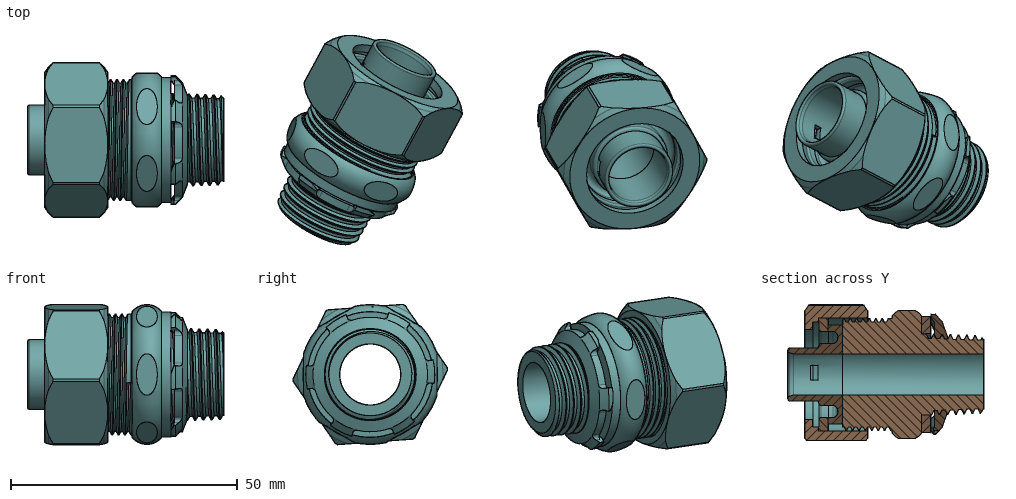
import cadquery as cq
import math


FULL_TURN = 360.0
HEX_SIDES = 6
SIXTH_TURN = FULL_TURN / HEX_SIDES

NUT_FRONT = 3.7
NUT_BACK = 17.7
NUT_CORNER_RADIUS = 17.1
NUT_CORNER_LAND = 0.5
NUT_TILT = 4.2
NUT_FACE_RADIUS = 14.9
NUT_BEVEL_STEP_RADIUS = 16.05
NUT_BEVEL_STEP = 0.82
NUT_BEVEL_DEPTH = 1.9
NUT_MOUTH_RADIUS = 11.05
NUT_LIP_THICKNESS = 1.85
NUT_RELIEF_RADIUS = 12.55

RING_FRONT = 6.9
RING_BACK = 8.95
RING_BORE_RADIUS = 10.7
RING_EDGE_ROUND = 0.48

TUBE_RADIUS = 7.75
BORE_RADIUS = 6.7
TUBE_NOSE_ROUND = 0.45
TUBE_FLARE_END = 1.25
TUBE_STEP = 6.7
TUBE_ROOT_RADIUS = 8.52
WINDOW_START = 5.0
WINDOW_LENGTH = 1.7
WINDOW_BOTTOM = -1.25
WINDOW_HEIGHT = 3.25
TROUGH_START = 9.95
FERRULE_FLANGE_RADIUS = 12.1
FERRULE_BACK = 12.1

BODY_BACK = 43.25
GLAND_CREST_RADIUS = 13.35
COLLAR_FRONT = 23.05
COLLAR_ROOT_BEVEL = 0.2
COLLAR_BACK = 29.55
COLLAR_EDGE_RADIUS = 13.9
COLLAR_CROWN_RADIUS = 15.45
COLLAR_FLAT_DISTANCE = 14.75
GLAND_DEPTH = 0.75
GLAND_CREST_WIDTH = 0.17
GLAND_GROOVE_TURNS = 8
GLAND_GROOVE_LENGTH = 11.3
GLAND_PITCH = GLAND_GROOVE_LENGTH / GLAND_GROOVE_TURNS
GLAND_GROOVE_END = 22.5
GLAND_GROOVE_END_ANGLE = 188.0
PIPE_CREST_RADIUS = 10.35
PIPE_TAPER_RUN = 32.0
PIPE_TAPER = math.degrees(math.atan(1 / PIPE_TAPER_RUN))
PIPE_PITCH = 1.8
PIPE_DEPTH = 0.82
PIPE_CREST_WIDTH = 0.2
PIPE_GROOVE_TURNS = 8
PIPE_GROOVE_START = 31.05
PIPE_END_RADIUS = 9.17
PIPE_STOCK_END = 51.92
THREAD_FLANK_ANGLE = 30.0
THREAD_CUT_OVERSHOOT = 0.2

GASKET_RADIUS = 13.85
GASKET_BACK = 31.6
RIM_FRONT = 32.35
RIM_BACK = 34.15
RIM_RADIUS = 12.65
LOCKNUT_BACK = 35.25
LOCKNUT_END_RADIUS = 9.82
LUG_RADIUS = 14.25
LUG_INNER_RADIUS = 13.5
LUG_ROOT_RADIUS = 12.45
LUG_BEND = 32.63
LUG_HALF_ANGLE = 10.7
LUG_ROOT_ROUND = 0.85
LUG_TURN = 2.6
LUG_RAMP_INNER = 0.65
LUG_RAMP_OUTER = 2.8
LUG_RAMP_HEIGHT = 0.75


def turned(profile):
    """Revolve a closed (x, radius) outline about the X axis."""
    return profile.close().revolve(FULL_TURN, (0, 0, 0), (1, 0, 0))


def disc(start, end, radius):
    """Cylinder on the X axis from x = start to x = end."""
    return cq.Workplane("YZ", origin=(start, 0, 0)).circle(radius).extrude(end - start)


def pipe_crest_radius(x):
    """Radius of the tapered thread's crests."""
    return PIPE_CREST_RADIUS - (x - COLLAR_BACK) * math.tan(math.radians(PIPE_TAPER))


def thread_groove(start, start_angle, crest_radius, pitch, turns, depth, crest_width, taper, left_hand):
    """Helical V-groove with a flat floor, running along +X from x = start."""
    overshoot = THREAD_CUT_OVERSHOOT
    slope = math.tan(math.radians(THREAD_FLANK_ANGLE))
    top_half = (pitch - crest_width) / 2 + overshoot * slope
    floor_half = (pitch - crest_width) / 2 - depth * slope
    section = (
        cq.Workplane("XZ")
        .polyline([
            (crest_radius - depth, -floor_half),
            (crest_radius + overshoot, -top_half),
            (crest_radius + overshoot, top_half),
            (crest_radius - depth, floor_half),
        ])
        .close()
    )
    length = pitch * turns
    if taper:
        helix = cq.Wire.makeHelix(pitch, length, crest_radius, angle=-taper, lefthand=left_hand)
    else:
        helix = cq.Wire.makeHelix(pitch, length, crest_radius, lefthand=left_hand)
    groove = section.sweep(cq.Workplane(helix), isFrenet=True)
    groove = groove.rotate((0, 0, 0), (1, 1, 1), FULL_TURN / 3)
    return groove.rotate((0, 0, 0), (1, 0, 0), start_angle).translate((start, 0, 0))


def make_nut():
    land_half_angle = math.asin(NUT_CORNER_LAND / 2 / NUT_CORNER_RADIUS)
    flat_distance = NUT_CORNER_RADIUS * math.cos(math.pi / HEX_SIDES - land_half_angle)
    sharp_diameter = 2 * flat_distance / math.cos(math.pi / HEX_SIDES)
    hexagon = (
        cq.Workplane("YZ", origin=(NUT_FRONT, 0, 0))
        .polygon(HEX_SIDES, sharp_diameter)
        .extrude(NUT_BACK - NUT_FRONT)
        .rotate((0, 0, 0), (1, 0, 0), NUT_TILT)
    )
    envelope = turned(
        cq.Workplane("XY")
        .moveTo(NUT_FRONT, 0)
        .lineTo(NUT_FRONT, NUT_FACE_RADIUS)
        .lineTo(NUT_FRONT + NUT_BEVEL_STEP, NUT_BEVEL_STEP_RADIUS)
        .lineTo(NUT_FRONT + NUT_BEVEL_DEPTH, NUT_CORNER_RADIUS)
        .lineTo(NUT_BACK - NUT_BEVEL_DEPTH, NUT_CORNER_RADIUS)
        .lineTo(NUT_BACK - NUT_BEVEL_STEP, NUT_BEVEL_STEP_RADIUS)
        .lineTo(NUT_BACK, NUT_FACE_RADIUS)
        .lineTo(NUT_BACK, 0)
    )
    mouth = disc(NUT_FRONT, NUT_BACK, NUT_MOUTH_RADIUS)
    relief = disc(NUT_FRONT + NUT_LIP_THICKNESS, NUT_BACK, NUT_RELIEF_RADIUS)
    body_socket = disc(RING_FRONT, NUT_BACK, GLAND_CREST_RADIUS)
    return hexagon.intersect(envelope).cut(mouth).cut(relief).cut(body_socket)


def make_sealing_ring():
    ring = disc(RING_FRONT, RING_BACK, GLAND_CREST_RADIUS).cut(disc(RING_FRONT, RING_BACK, RING_BORE_RADIUS))
    inner_front_edge = cq.selectors.RadiusNthSelector(0)
    return ring.faces("<X").edges(inner_front_edge).fillet(RING_EDGE_ROUND)


def make_ferrule():
    """Conduit tube standing in a flange whose front is a round-bottomed trough."""
    trough_radius = (RING_BORE_RADIUS - TUBE_ROOT_RADIUS) / 2
    trough_middle = (RING_BORE_RADIUS + TUBE_ROOT_RADIUS) / 2
    shoulder = TUBE_ROOT_RADIUS - TUBE_RADIUS
    shoulder_rise = shoulder * math.sin(math.pi / 4)
    shoulder_setback = shoulder * (1 - math.cos(math.pi / 4))
    ferrule = turned(
        cq.Workplane("XY")
        .moveTo(TUBE_FLARE_END, BORE_RADIUS)
        .lineTo(TUBE_NOSE_ROUND, TUBE_RADIUS - 2 * TUBE_NOSE_ROUND)
        .threePointArc((0, TUBE_RADIUS - TUBE_NOSE_ROUND), (TUBE_NOSE_ROUND, TUBE_RADIUS))
        .lineTo(TUBE_STEP, TUBE_RADIUS)
        .threePointArc(
            (TUBE_STEP + shoulder_setback, TUBE_RADIUS + shoulder_rise),
            (TUBE_STEP + shoulder, TUBE_ROOT_RADIUS),
        )
        .lineTo(TROUGH_START, TUBE_ROOT_RADIUS)
        .threePointArc((TROUGH_START + trough_radius, trough_middle), (TROUGH_START, RING_BORE_RADIUS))
        .lineTo(RING_BACK, RING_BORE_RADIUS)
        .lineTo(RING_BACK, FERRULE_FLANGE_RADIUS)
        .lineTo(FERRULE_BACK, FERRULE_FLANGE_RADIUS)
        .lineTo(FERRULE_BACK, BORE_RADIUS)
    )
    window = cq.Workplane("XY").box(
        WINDOW_LENGTH, TUBE_ROOT_RADIUS, WINDOW_HEIGHT, centered=False
    ).translate((WINDOW_START, 0, WINDOW_BOTTOM))
    return ferrule.cut(window)


def make_body():
    body = turned(
        cq.Workplane("XY")
        .moveTo(FERRULE_BACK, BORE_RADIUS)
        .lineTo(FERRULE_BACK, GLAND_CREST_RADIUS)
        .lineTo(COLLAR_FRONT - COLLAR_ROOT_BEVEL, GLAND_CREST_RADIUS)
        .lineTo(COLLAR_FRONT, GLAND_CREST_RADIUS + COLLAR_ROOT_BEVEL)
        .lineTo(COLLAR_FRONT, COLLAR_EDGE_RADIUS)
        .threePointArc(
            ((COLLAR_FRONT + COLLAR_BACK) / 2, COLLAR_CROWN_RADIUS), (COLLAR_BACK, COLLAR_EDGE_RADIUS)
        )
        .lineTo(COLLAR_BACK, PIPE_CREST_RADIUS)
        .lineTo(PIPE_STOCK_END, pipe_crest_radius(PIPE_STOCK_END))
        .lineTo(PIPE_STOCK_END, BORE_RADIUS)
    )
    collar_length = COLLAR_BACK - COLLAR_FRONT
    flat_cutter = cq.Workplane("XY").box(
        collar_length, COLLAR_CROWN_RADIUS, 2 * COLLAR_CROWN_RADIUS, centered=(False, False, True)
    ).translate((COLLAR_FRONT, COLLAR_FLAT_DISTANCE, 0))
    for side in range(HEX_SIDES):
        body = body.cut(flat_cutter.rotate((0, 0, 0), (1, 0, 0), side * SIXTH_TURN))

    gland_groove = thread_groove(
        GLAND_GROOVE_END - GLAND_GROOVE_LENGTH, GLAND_GROOVE_END_ANGLE, GLAND_CREST_RADIUS,
        GLAND_PITCH, GLAND_GROOVE_TURNS, GLAND_DEPTH, GLAND_CREST_WIDTH, taper=0, left_hand=True,
    )
    pipe_groove = thread_groove(
        PIPE_GROOVE_START, 0, pipe_crest_radius(PIPE_GROOVE_START),
        PIPE_PITCH, PIPE_GROOVE_TURNS, PIPE_DEPTH, PIPE_CREST_WIDTH, taper=PIPE_TAPER, left_hand=False,
    )
    surplus = turned(
        cq.Workplane("XY")
        .moveTo(BODY_BACK, 0)
        .lineTo(BODY_BACK, PIPE_END_RADIUS)
        .lineTo(BODY_BACK - (PIPE_CREST_RADIUS - PIPE_END_RADIUS), PIPE_CREST_RADIUS)
        .lineTo(PIPE_STOCK_END, PIPE_CREST_RADIUS)
        .lineTo(PIPE_STOCK_END, 0)
    )
    return body.cut(gland_groove).cut(pipe_groove).cut(surplus)


def make_gasket():
    outside = disc(COLLAR_BACK, GASKET_BACK, GASKET_RADIUS)
    return outside.cut(disc(COLLAR_BACK, GASKET_BACK, PIPE_CREST_RADIUS))


def make_lug_gap():
    """Space between two neighbouring lugs, outside the rim, centred on +Y."""
    half_angle = math.radians(SIXTH_TURN / 2 - LUG_HALF_ANGLE)
    reach = 2 * LUG_RADIUS
    sector = (
        cq.Workplane("YZ", origin=(GASKET_BACK, 0, 0))
        .polyline([
            (0, 0),
            (reach * math.cos(half_angle), -reach * math.sin(half_angle)),
            (reach * math.cos(half_angle), reach * math.sin(half_angle)),
        ])
        .close()
        .extrude(LOCKNUT_BACK - GASKET_BACK)
    )
    above_rim = sector.cut(disc(GASKET_BACK, LOCKNUT_BACK, RIM_RADIUS))
    above_rim = above_rim.edges("|X").edges("<Y").fillet(LUG_ROOT_ROUND)
    in_front_of_rim = sector.cut(disc(RIM_FRONT, LOCKNUT_BACK, reach))
    return above_rim.union(in_front_of_rim)


def make_lug_ramp():
    """Wedge that slopes the front of a lug centred on +Y."""
    return (
        cq.Workplane("XZ")
        .polyline([
            (GASKET_BACK, -LUG_RAMP_INNER),
            (GASKET_BACK, -LUG_RAMP_OUTER),
            (GASKET_BACK + LUG_RAMP_HEIGHT, -LUG_RAMP_OUTER),
        ])
        .close()
        .extrude(-2 * LUG_RADIUS)
    )


def make_locknut(body):
    """Dished ring with six lugs, threaded to match the body."""
    locknut = turned(
        cq.Workplane("XY")
        .moveTo(RIM_FRONT, BORE_RADIUS)
        .lineTo(RIM_FRONT, LUG_ROOT_RADIUS)
        .lineTo(GASKET_BACK, LUG_INNER_RADIUS)
        .lineTo(GASKET_BACK, LUG_RADIUS)
        .lineTo(LUG_BEND, LUG_RADIUS)
        .lineTo(RIM_BACK, RIM_RADIUS)
        .lineTo(LOCKNUT_BACK, LOCKNUT_END_RADIUS)
        .lineTo(LOCKNUT_BACK, BORE_RADIUS)
    )
    gap = make_lug_gap().rotate((0, 0, 0), (1, 0, 0), SIXTH_TURN / 2)
    ramp = make_lug_ramp()
    for lug in range(HEX_SIDES):
        turn = LUG_TURN + lug * SIXTH_TURN
        locknut = locknut.cut(gap.rotate((0, 0, 0), (1, 0, 0), turn))
        locknut = locknut.cut(ramp.rotate((0, 0, 0), (1, 0, 0), turn))
    return locknut.cut(body)


nut = make_nut()
sealing_ring = make_sealing_ring()
ferrule = make_ferrule()
body = make_body()
gasket = make_gasket()
locknut = make_locknut(body)

result = cq.Compound.makeCompound([
    nut.solids().val(),
    sealing_ring.solids().val(),
    ferrule.solids().val(),
    body.solids().val(),
    gasket.solids().val(),
    locknut.solids().val(),
])